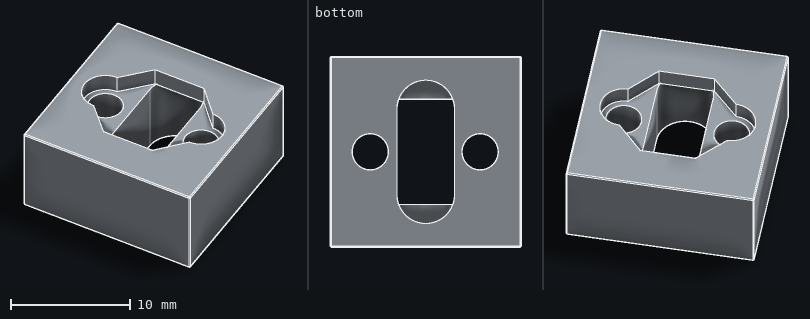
import cadquery as cq

side = 16.0
height = 8.0
edge_chamfer = 0.1

pocket_depth = 1.6
pocket_half_width = 2.35
pocket_half_length = 4.4
ear_radius = 2.0

hole_spacing = 9.2
hole_offset = -0.05
hole_diameter = 3.0

slot_width = 4.8
slot_length = 12.0

pocket_floor = height - pocket_depth
left_x = hole_offset - hole_spacing / 2
right_x = hole_offset + hole_spacing / 2


def make_block():
    block = cq.Workplane("XY").box(side, side, height, centered=(True, True, False))
    return block.edges().chamfer(edge_chamfer)


def make_pocket():
    """Tapered centre section with a round ear on each side."""
    return (
        cq.Workplane("XY", origin=(0, 0, pocket_floor))
        .moveTo(-pocket_half_width, pocket_half_length)
        .lineTo(pocket_half_width, pocket_half_length)
        .lineTo(right_x, ear_radius)
        .threePointArc((right_x + ear_radius, 0), (right_x, -ear_radius))
        .lineTo(pocket_half_width, -pocket_half_length)
        .lineTo(-pocket_half_width, -pocket_half_length)
        .lineTo(left_x, -ear_radius)
        .threePointArc((left_x - ear_radius, 0), (left_x, ear_radius))
        .close()
        .extrude(pocket_depth)
    )


def make_slot():
    """Slot along Y from the bottom face up to the pocket floor."""
    return cq.Workplane("XY").slot2D(slot_length, slot_width, 90).extrude(pocket_floor)


def make_screw_holes():
    centers = [(left_x, 0), (right_x, 0)]
    return cq.Workplane("XY").pushPoints(centers).circle(hole_diameter / 2).extrude(pocket_floor)


result = make_block().cut(make_pocket()).cut(make_slot()).cut(make_screw_holes())